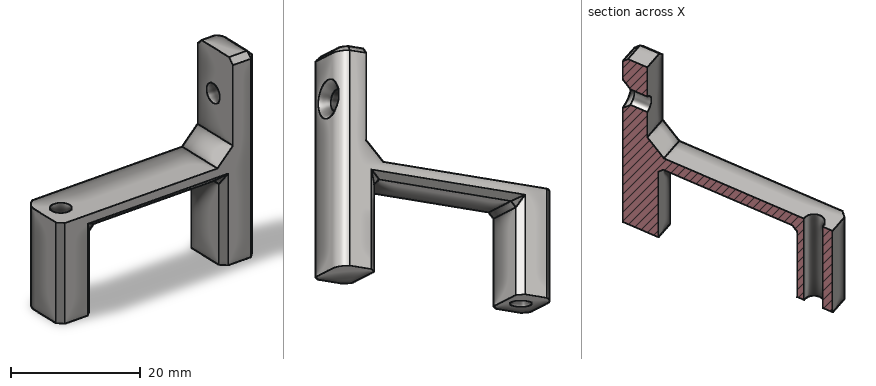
import cadquery as cq
import math

width = 9.0
length = 38.0
height = 35.65

wall_thickness = 4.5
arm_top = 17.6
web_size = 3.0

edge_chamfer = 1.0
corner_radius = 3.0
corner_depth = 1.55

leg_depth = 5.4
opening_height = 16.05
opening_bevel = 1.05
bevel_depth = 1.0
throat_chamfer = 0.87

hole_diameter = 3.4
wall_hole_x = 4.0
wall_hole_z = 27.63
arm_hole_x = 4.67
arm_hole_y = 3.5
countersink_diameter = 6.2


def make_polyhedron(faces):
    """Solid bounded by flat faces, each given as a loop of (x, y, z) corners."""
    flat_faces = []
    for corners in faces:
        outline = cq.Wire.makePolygon([cq.Vector(*corner) for corner in corners], close=True)
        flat_faces.append(cq.Face.makeFromWires(outline))
    solid = cq.Solid.makeSolid(cq.Shell.makeShell(flat_faces))
    return cq.Workplane(obj=solid.fix())


def make_blank():
    """Full-height block: -X corners partly rounded, +X corners and top rim chamfered."""
    corner_width = math.sqrt(corner_radius**2 - (corner_radius - corner_depth)**2)
    half_angle = math.asin(corner_width / corner_radius) / 2
    mid_x = corner_width - corner_radius * math.sin(half_angle)
    mid_y = corner_radius * (1 - math.cos(half_angle))
    outline = (
        cq.Workplane("XY")
        .moveTo(corner_width, 0)
        .lineTo(width, 0)
        .lineTo(width, length)
        .lineTo(corner_width, length)
        .threePointArc((mid_x, length - mid_y), (0, length - corner_depth))
        .lineTo(0, corner_depth)
        .threePointArc((mid_x, mid_y), (corner_width, 0))
        .close()
    )
    rim_start = height - edge_chamfer
    body = outline.extrude(rim_start)
    rim = body.faces(">Z").wires().toPending().extrude(edge_chamfer, combine=False, taper=45)
    body = body.edges("|Z and >X").chamfer(edge_chamfer)

    inner_x, inner_y = width - edge_chamfer, length - edge_chamfer
    peak = (inner_x, inner_y, height)
    rear = (inner_x, length, rim_start)
    side = (width, inner_y, rim_start)
    corner = (width, length, rim_start)
    corner_tip = make_polyhedron([
        [peak, rear, side],
        [peak, rear, corner],
        [peak, side, corner],
        [rear, side, corner],
    ])
    return body.union(rim.cut(corner_tip))


def make_space_above_arm():
    """Volume above the arm and in front of the wall, leaving the sloped web."""
    wall_front = length - wall_thickness
    return (
        cq.Workplane("YZ")
        .moveTo(0, arm_top)
        .lineTo(wall_front - web_size, arm_top)
        .lineTo(wall_front, arm_top + web_size)
        .lineTo(wall_front, height)
        .lineTo(0, height)
        .close()
        .extrude(width)
    )


def make_opening():
    """Cutters for the space between the legs, flaring to a sharp-cornered mouth at each side."""
    near, far = leg_depth, length - leg_depth
    throat_near, throat_far = near + opening_bevel, far - opening_bevel
    throat_top = opening_height - opening_bevel
    mouth = [(near, 0), (near, opening_height), (far, opening_height), (far, 0)]
    throat = [
        (throat_near, 0),
        (throat_near, throat_top - throat_chamfer),
        (throat_near + throat_chamfer, throat_top),
        (throat_far - throat_chamfer, throat_top),
        (throat_far, throat_top - throat_chamfer),
        (throat_far, 0),
    ]
    m0, m1, m2, m3 = [(0, y, z) for y, z in mouth]
    t0, t1, t2, t3, t4, t5 = [(bevel_depth, y, z) for y, z in throat]
    flare = make_polyhedron([
        [m0, m1, m2, m3],
        [t0, t1, t2, t3, t4, t5],
        [m0, m1, t1, t0],
        [m1, t2, t1],
        [m1, m2, t3, t2],
        [m2, t4, t3],
        [m2, m3, t5, t4],
        [m3, m0, t0, t5],
    ])
    opposite_flare = flare.mirror("YZ", (width / 2, 0, 0))
    passage = cq.Workplane("YZ").polyline(throat).close().extrude(width)
    return [passage, flare, opposite_flare]


def make_wall_hole():
    """Through hole with a 90 degree countersink in the rear face."""
    countersink_radius = countersink_diameter / 2
    countersink = cq.Solid.makeCone(
        countersink_radius,
        0,
        countersink_radius,
        pnt=cq.Vector(wall_hole_x, length, wall_hole_z),
        dir=cq.Vector(0, -1, 0),
    )
    shank = (
        cq.Workplane("XZ", origin=(wall_hole_x, length, wall_hole_z))
        .circle(hole_diameter / 2)
        .extrude(wall_thickness)
    )
    return shank.union(cq.Workplane(obj=countersink))


def make_arm_hole():
    return (
        cq.Workplane("XY", origin=(arm_hole_x, arm_hole_y, 0))
        .circle(hole_diameter / 2)
        .extrude(arm_top)
    )


result = make_blank().cut(make_space_above_arm())
for opening_part in make_opening():
    result = result.cut(opening_part)
result = result.cut(make_wall_hole()).cut(make_arm_hole()).solids()